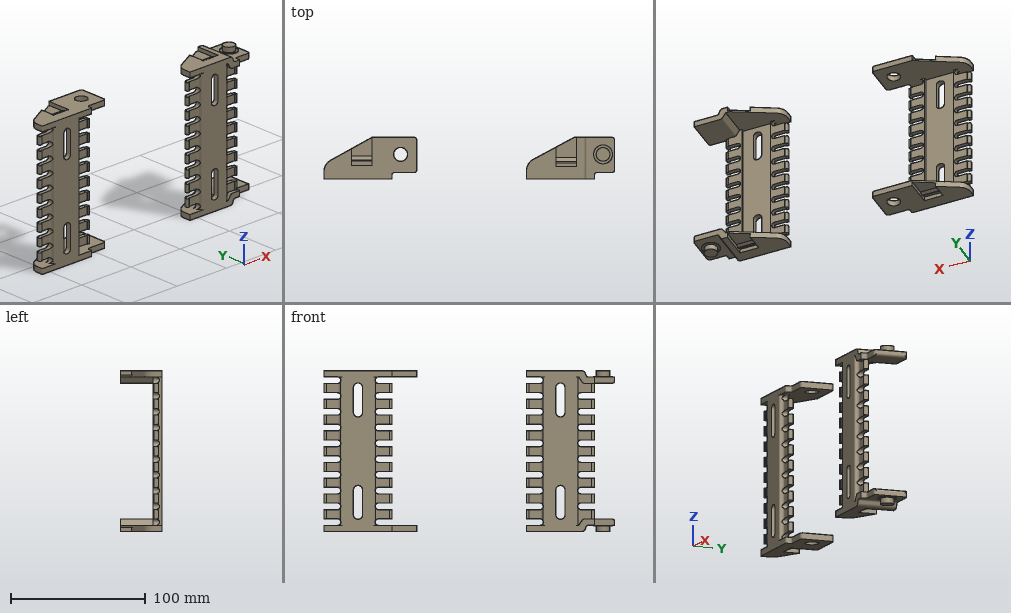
import cadquery as cq
import math


total_length = 215.5
height = 119.4
depth = 31.0
middle_level = height / 2

body_width = 50.6
body_middle = body_width / 2
plate_thickness = 4.5
flange_thickness = 4.7
flange_bottom = height - flange_thickness

step_x = 12.5
edge_radius = 1.0
face_edge = step_x + edge_radius
root_radius = 2.0
tooth_root = step_x - root_radius
tooth_front = 3.5
tooth_back = 7.0

tip_length = 2.2
tip_shift = 0.9
tip_round = 0.9

tooth_count = 9
gap_count = tooth_count + 1
tooth_height = 7.0
inner_height = height - 2 * flange_thickness
gap_height = (inner_height - tooth_count * tooth_height) / gap_count
tooth_pitch = tooth_height + gap_height
gap_depth = step_x
all_gaps = range(gap_count)
inner_gaps = range(1, gap_count - 1)

slot_width = 6.7
slot_length = 25.0
slot_margin = 9.3

nose_radius = 10.0
tab_front = 4.7
tab_corner_radius = 2.2
notch_radius = 1.5
front_corner_radius = 0.9

hinge_x = 56.9
hinge_y = 18.3
hinge_diameter = 10.1
collar_diameter = 14.0
collar_height = 0.5

holed_reach = 69.0
holed_slope_start = 11.2
holed_slope_end = 35.8

pinned_reach = 65.5
pinned_slope_start = 11.9
pinned_slope_end = 35.5
pinned_offset = total_length - pinned_reach

tab_bottom = flange_bottom - flange_thickness
outer_bend_x = 43.0
outer_bend_angle = 70.0
outer_bend_radius = 3.0
outer_foot_radius = 1.7
inner_bend_x = 38.8
inner_bend_angle = 55.0
inner_foot_radius = 2.0
tab_end_radius = 2.0

pocket_width = 15.0
pocket_depth = 3.2
pocket_floor = height - pocket_depth
latch_height = 1.0


def corner(x, y, z):
    """Selects the edge whose middle is nearest to a point."""
    return cq.selectors.NearestToPointSelector((x, y, z))


def half_section():
    """Section of the plate from its middle line to the tip of a tooth on the left."""
    tip_front = tooth_front - tip_shift
    tip_back = tooth_back - tip_shift
    bulge = 1 - math.sqrt(0.5)
    edge_middle = (step_x + edge_radius * bulge, edge_radius * bulge)
    root_middle = (step_x - root_radius * bulge, tooth_front - root_radius * bulge)
    tip_middle = tip_round * bulge
    return (
        cq.Workplane("XY")
        .moveTo(body_middle, 0)
        .lineTo(face_edge, 0)
        .threePointArc(edge_middle, (step_x, edge_radius))
        .lineTo(step_x, tooth_front - root_radius)
        .threePointArc(root_middle, (tooth_root, tooth_front))
        .lineTo(tip_length, tooth_front)
        .lineTo(tip_length, tip_front)
        .lineTo(tip_round, tip_front)
        .threePointArc((tip_middle, tip_front + tip_middle), (0, tip_front + tip_round))
        .lineTo(0, tip_back - tip_round)
        .threePointArc((tip_middle, tip_back - tip_middle), (tip_round, tip_back))
        .lineTo(tip_length, tip_back)
        .lineTo(tip_length, tooth_back)
        .lineTo(face_edge, tooth_back)
        .lineTo(face_edge, plate_thickness)
        .lineTo(body_middle, plate_thickness)
        .close()
    )


def half_plate(gap_indices):
    """Left half of the plate, with round-ended gaps cut between the teeth."""
    half = half_section().extrude(inner_height).translate((0, 0, flange_thickness))
    first_level = flange_thickness + gap_height / 2
    levels = [(0, first_level + index * tooth_pitch) for index in gap_indices]
    gaps = cq.Workplane("XZ").pushPoints(levels).slot2D(2 * gap_depth, gap_height).extrude(-depth)
    return half.cut(gaps)


def make_plate(right_gap_indices):
    """Plate between the flanges, with teeth on both sides and two mounting slots."""
    right_half = half_plate(right_gap_indices).mirror("YZ", (body_middle, 0, 0))
    plate = half_plate(all_gaps).union(right_half)
    slot_level = slot_margin + slot_length / 2
    slots = (
        cq.Workplane("XZ")
        .pushPoints([(body_middle, slot_level), (body_middle, height - slot_level)])
        .slot2D(slot_length, slot_width, 90)
        .extrude(-depth)
    )
    return plate.cut(slots)


def flange_blank(reach, slope_start, slope_end, bottom):
    """Flange outline, extruded from a given level up to the top of the bracket."""
    level = (bottom + height) / 2
    blank = (
        cq.Workplane("XY", (0, 0, bottom))
        .polyline([
            (0, 0),
            (body_width, 0),
            (body_width, tab_front),
            (reach, tab_front),
            (reach, depth),
            (slope_end, depth),
            (0, slope_start),
        ])
        .close()
        .extrude(height - bottom)
    )
    blank = blank.edges(corner(0, slope_start, level)).fillet(nose_radius)
    blank = blank.edges(corner(body_width, tab_front, level)).fillet(notch_radius)
    return blank.edges("|Z and >X").fillet(tab_corner_radius)


def latch_pocket(left, front, ridge_front, ridge_back, ramp_foot):
    """Cutter for a pocket open at the slope, with a ramped latch ridge left on its floor."""
    pocket = (
        cq.Workplane("XY", (left, front, pocket_floor))
        .box(pocket_width, depth - front, pocket_depth, centered=False)
    )
    ridge_top = pocket_floor + latch_height
    ridge = (
        cq.Workplane("YZ", (left, 0, 0))
        .polyline([
            (ridge_front, pocket_floor),
            (ridge_front, ridge_top),
            (ridge_back, ridge_top),
            (ramp_foot, pocket_floor),
        ])
        .close()
        .extrude(pocket_width)
    )
    return pocket.cut(ridge)


def cylinder(diameter, bottom, length):
    """Upright cylinder on the hinge axis."""
    return cq.Workplane("XY", (hinge_x, hinge_y, bottom)).circle(diameter / 2).extrude(length)


def make_holed_flange():
    flange = flange_blank(holed_reach, holed_slope_start, holed_slope_end, flange_bottom)
    for x in (0, body_width):
        flange = flange.edges(corner(x, 0, height - flange_thickness / 2)).fillet(front_corner_radius)
    flange = flange.cut(cylinder(hinge_diameter, flange_bottom, flange_thickness))
    return flange.cut(
        latch_pocket(left=20.7, front=10.0, ridge_front=13.4, ridge_back=14.0, ramp_foot=17.0)
    )


def offset_profile():
    """Front profile of the pinned flange, stepping inward by one thickness, through the depth."""
    outer_foot_x = outer_bend_x + flange_thickness / math.tan(math.radians(outer_bend_angle))
    inner_foot_x = inner_bend_x + flange_thickness / math.tan(math.radians(inner_bend_angle))
    profile = (
        cq.Workplane("XZ")
        .polyline([
            (0, height),
            (outer_bend_x, height),
            (outer_foot_x, flange_bottom),
            (pinned_reach, flange_bottom),
            (pinned_reach, tab_bottom),
            (inner_foot_x, tab_bottom),
            (inner_bend_x, flange_bottom),
            (0, flange_bottom),
        ])
        .close()
        .extrude(-depth)
    )
    rounds = [
        (outer_bend_x, height, outer_bend_radius),
        (outer_foot_x, flange_bottom, outer_foot_radius),
        (inner_foot_x, tab_bottom, inner_foot_radius),
        (pinned_reach, tab_bottom, tab_end_radius),
    ]
    for x, z, radius in rounds:
        profile = profile.edges(corner(x, depth / 2, z)).fillet(radius)
    return profile


def make_pinned_flange():
    flange = flange_blank(pinned_reach, pinned_slope_start, pinned_slope_end, tab_bottom)
    flange = flange.intersect(offset_profile())
    flange = flange.union(cylinder(collar_diameter, flange_bottom, collar_height))
    flange = flange.union(cylinder(hinge_diameter, flange_bottom, flange_thickness))
    return flange.cut(
        latch_pocket(left=22.2, front=9.3, ridge_front=11.9, ridge_back=13.1, ramp_foot=16.0)
    )


def make_bracket(plate, top_flange):
    """Plate with a flange at the top and its mirror image at the bottom."""
    bottom_flange = top_flange.mirror("XY", (0, 0, middle_level))
    return plate.union(top_flange).union(bottom_flange)


holed_bracket = make_bracket(make_plate(all_gaps), make_holed_flange())
pinned_bracket = make_bracket(make_plate(inner_gaps), make_pinned_flange())
pinned_bracket = pinned_bracket.translate((pinned_offset, 0, 0))

result = cq.Compound.makeCompound([holed_bracket.val(), pinned_bracket.val()])